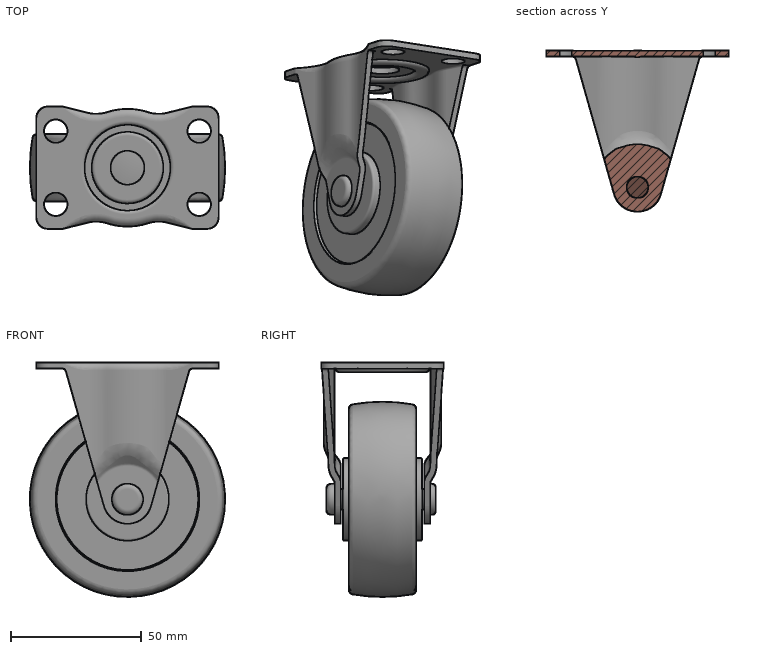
import cadquery as cq
import math


wheel_radius = 37.5
wheel_half_width = 13.0
tread_edge_radius = 36.2
tread_corner_fillet = 2.0
recess_outer_radius = 27.6
recess_floor_radius = 27.1
recess_depth = 1.0
hub_radius = 15.9
hub_half_width = 15.2
hub_fillet = 0.8

axle_radius = 4.0
head_radius = 6.0
front_head_height = 3.25
front_head_fillet = 2.0
rear_head_height = 2.15
rear_head_fillet = 1.6

overall_height = 90.0
plate_top = overall_height - wheel_radius
sheet = 2.4
plate_length = 70.0
plate_width = 47.0
plate_corner_radius = 4.5
mount_hole_diameter = 8.9
mount_pitch_x = 55.0
mount_pitch_y = 28.0
center_hole_diameter = 13.0
bead_outer_radius = 17.9
bead_inner_radius = 12.3
bead_depth = 1.45

flat_y = 20.75
crest_y = 22.6
flat_inner_x = 11.4
flat_outer_x = 12.6
bump_inflection_x = 7.9
wing_angle = math.radians(14)
wing_valley_radius = 10.0
bend_radius = 3.0
inner_bend_radius = bend_radius - sheet

arm_end_radius = 9.4
arm_taper = math.radians(15.8)
arm_root_fillet = 1.5

tab_y = 18.35
tab_radius = 13.3
joggle_angle = math.radians(37)
tab_valley_radius = 1.5
joggle_crown_radius = 8.0

bump_angle = 2 * math.atan((crest_y - flat_y) / flat_inner_x)
crest_radius = bump_inflection_x / math.sin(bump_angle)
bump_valley_radius = (flat_inner_x - bump_inflection_x) / math.sin(bump_angle)


def revolve_about_axle(profile):
    """Turn an XY profile (x = radius, y = along the axle) about the Y axis."""
    return profile.revolve(360, (0, 0, 0), (0, 1, 0))


def make_wheel():
    body = revolve_about_axle(
        cq.Workplane("XY")
        .moveTo(0, -wheel_half_width)
        .lineTo(tread_edge_radius, -wheel_half_width)
        .threePointArc((wheel_radius, 0), (tread_edge_radius, wheel_half_width))
        .lineTo(0, wheel_half_width)
        .close()
    )
    body = body.faces("<Y or >Y").edges().fillet(tread_corner_fillet)
    recess = revolve_about_axle(
        cq.Workplane("XY")
        .moveTo(0, wheel_half_width)
        .lineTo(recess_outer_radius, wheel_half_width)
        .lineTo(recess_floor_radius, wheel_half_width - recess_depth)
        .lineTo(0, wheel_half_width - recess_depth)
        .close()
    )
    hub = (
        cq.Workplane("XZ")
        .circle(hub_radius)
        .extrude(hub_half_width, both=True)
        .faces("<Y or >Y")
        .edges()
        .fillet(hub_fillet)
    )
    bore = cq.Workplane("XZ").circle(axle_radius).extrude(hub_half_width, both=True)
    return body.cut(recess).cut(recess.mirror("XZ")).union(hub).cut(bore)


def make_head(height, fillet, side):
    """Domed rivet head that sits on the tab's outer face; side is +1 for +Y, -1 for -Y."""
    head = (
        cq.Workplane("XZ", origin=(0, side * tab_y, 0))
        .circle(head_radius)
        .extrude(-side * height)
    )
    outer_face = ">Y" if side > 0 else "<Y"
    return head.faces(outer_face).edges().fillet(fillet)


def make_axle():
    shaft = cq.Workplane("XZ").circle(axle_radius).extrude(tab_y, both=True)
    front_head = make_head(front_head_height, front_head_fillet, -1)
    rear_head = make_head(rear_head_height, rear_head_fillet, 1)
    return shaft.union(front_head).union(rear_head)


def arc_point(center, radius, angle):
    """Point on an arc; the angle is measured from +Y towards +X."""
    return (center[0] + radius * math.sin(angle), center[1] + radius * math.cos(angle))


def mirrored(point):
    return (-point[0], point[1])


def wing_start(depth):
    """Where the straight wing leaves its valley arc, on the +X side."""
    center = (flat_outer_x, flat_y + wing_valley_radius)
    return arc_point(center, wing_valley_radius + depth, math.pi - wing_angle)


def add_wavy_middle(path, depth):
    """Draw the valley-flat-bump-flat-valley curve from -X to +X, `depth` inside the outer face."""
    wing_center = (flat_outer_x, flat_y + wing_valley_radius)
    valley_center = (flat_inner_x, flat_y + bump_valley_radius)
    wing_r = wing_valley_radius + depth
    valley_r = bump_valley_radius + depth
    crest_r = crest_radius - depth

    wing_mid = arc_point(wing_center, wing_r, math.pi - wing_angle / 2)
    flat_outer = (flat_outer_x, flat_y - depth)
    flat_inner = (flat_inner_x, flat_y - depth)
    valley_mid = arc_point(valley_center, valley_r, math.pi + bump_angle / 2)
    inflection = arc_point((0, crest_y - crest_radius), crest_r, bump_angle)
    crest = (0, crest_y - depth)

    return (
        path.threePointArc(mirrored(wing_mid), mirrored(flat_outer))
        .lineTo(*mirrored(flat_inner))
        .threePointArc(mirrored(valley_mid), mirrored(inflection))
        .threePointArc(crest, inflection)
        .threePointArc(valley_mid, flat_inner)
        .lineTo(*flat_outer)
        .threePointArc(wing_mid, wing_start(depth))
    )


def wing_end(depth):
    """Where the straight wing reaches the plate's long edge line, on the +X side."""
    start_x, start_y = wing_start(depth)
    edge_y = plate_width / 2
    return (start_x + (edge_y - start_y) / math.tan(wing_angle), edge_y)


def wavy_block(depth, bottom, top):
    """Block from the XZ plane out to the wavy surface `depth` inside the arm's outer face."""
    end = wing_end(depth)
    path = (
        cq.Workplane("XY", origin=(0, 0, bottom))
        .moveTo(-end[0], 0)
        .lineTo(*mirrored(end))
        .lineTo(*mirrored(wing_start(depth)))
    )
    return add_wavy_middle(path, depth).lineTo(*end).lineTo(end[0], 0).close().extrude(top - bottom)


def joggle_cutter(depth):
    """Space outside the tab and the cone round it, `depth` inside the arm's outer face."""
    valley_r = tab_valley_radius + depth
    valley_center = (
        tab_radius - tab_valley_radius * math.tan(joggle_angle / 2),
        tab_y + tab_valley_radius,
    )
    cone_start = arc_point(valley_center, valley_r, math.pi - joggle_angle)
    outside_y = plate_width / 2
    cone_end_radius = cone_start[0] + (outside_y - cone_start[1]) / math.tan(joggle_angle)
    return revolve_about_axle(
        cq.Workplane("XY")
        .moveTo(0, tab_y - depth)
        .lineTo(valley_center[0], tab_y - depth)
        .threePointArc(arc_point(valley_center, valley_r, math.pi - joggle_angle / 2), cone_start)
        .lineTo(cone_end_radius, outside_y)
        .lineTo(0, outside_y)
        .close()
    )


def arm_outline():
    """Tapered arm outline with a round lower end, as a block along Y."""
    tangent_x = arm_end_radius * math.cos(arm_taper)
    tangent_z = -arm_end_radius * math.sin(arm_taper)
    root_z = plate_top - sheet
    root_x = tangent_x + (root_z - tangent_z) * math.tan(arm_taper)
    root_run = arm_root_fillet * math.tan((math.pi / 2 - arm_taper) / 2)
    slope_x = root_x - root_run * math.sin(arm_taper)
    slope_z = root_z - root_run * math.cos(arm_taper)
    flare_center = (root_x + root_run, root_z - arm_root_fillet)
    flare_mid = arc_point(flare_center, arm_root_fillet, -(math.pi / 2 - arm_taper) / 2)
    flare_top = (root_x + root_run, root_z)
    return (
        cq.Workplane("XZ")
        .moveTo(*mirrored(flare_top))
        .threePointArc(mirrored(flare_mid), (-slope_x, slope_z))
        .lineTo(-tangent_x, tangent_z)
        .threePointArc((0, -arm_end_radius), (tangent_x, tangent_z))
        .lineTo(slope_x, slope_z)
        .threePointArc(flare_mid, flare_top)
        .lineTo(flare_top[0], plate_top)
        .lineTo(-flare_top[0], plate_top)
        .close()
        .extrude(-plate_width)
    )


def arm_block(depth):
    """Arm outline filled from the XZ plane out to the joggled surface `depth` inside the outer face."""
    block = wavy_block(depth, -arm_end_radius, plate_top)
    block = block.intersect(arm_outline()).cut(joggle_cutter(depth))
    cone_breakout_radius = tab_radius + (crest_y - tab_y) / math.tan(joggle_angle)
    nearest_y = flat_y - depth - 0.2 * (flat_y - tab_y)
    crown_edges = cq.selectors.BoxSelector(
        (-flat_outer_x, nearest_y, arm_end_radius),
        (flat_outer_x, plate_width / 2, cone_breakout_radius + tab_valley_radius),
    )
    return block.edges(crown_edges).fillet(joggle_crown_radius - depth)


def make_arm():
    """The +Y arm, up to the top of the plate."""
    axle_hole = cq.Workplane("XZ").circle(axle_radius).extrude(-plate_width)
    return arm_block(0).cut(arm_block(sheet)).cut(axle_hole)


def corner_section(radius, plane):
    """Waste outside a rounded corner: local x points inward from the face, local y points down."""
    mid = radius * (1 - math.sqrt(0.5))
    return (
        cq.Workplane(plane)
        .lineTo(radius, 0)
        .threePointArc((mid, mid), (0, radius))
        .close()
    )


def wing_bend_cutter():
    """Rounds the top of the +X wing, fading from the full bend radius to nothing at the corner."""
    start = wing_start(0)
    end = wing_end(0)
    along = cq.Vector(math.cos(wing_angle), math.sin(wing_angle), 0)
    inward = cq.Vector(math.sin(wing_angle), -math.cos(wing_angle), 0)
    fade_stations = [0, 0.5, 1]
    end_radius = bend_radius / 60
    wires = []
    for station in fade_stations:
        x = start[0] + station * (end[0] - start[0])
        y = start[1] + station * (end[1] - start[1])
        plane = cq.Plane(origin=(x, y, plate_top), xDir=inward, normal=along)
        radius = end_radius + (bend_radius - end_radius) * (1 - station ** 2)
        wires.append(corner_section(radius, plane).val())
    return cq.Workplane(cq.Solid.makeLoft(wires))


def middle_bend_cutter():
    """Rounds the top of the valleys, flats and bump."""
    start = mirrored(wing_start(0))
    path = cq.Workplane("XY", origin=(0, 0, plate_top)).moveTo(*start)
    path = add_wavy_middle(path, 0)
    plane = cq.Plane(
        origin=(start[0], start[1], plate_top),
        xDir=(-math.sin(wing_angle), -math.cos(wing_angle), 0),
        normal=(math.cos(wing_angle), -math.sin(wing_angle), 0),
    )
    return corner_section(bend_radius, plane).sweep(path)


def make_plate_half():
    """The +Y half of the plate with its wavy edge."""
    blank = (
        cq.Workplane("XY", origin=(0, 0, plate_top - sheet))
        .rect(plate_length, plate_width)
        .extrude(sheet)
        .edges("|Z")
        .fillet(plate_corner_radius)
    )
    end_x, end_y = wing_end(0)
    plate_middle_z = plate_top - sheet / 2
    middle = cq.Workplane("XY", origin=(0, 0, plate_middle_z)).box(2 * end_x, 2 * end_y, 2 * sheet)
    positive_y = (
        cq.Workplane("XY", origin=(0, plate_width / 2, plate_middle_z))
        .box(plate_length, plate_width, 2 * sheet)
    )
    wavy = wavy_block(0, plate_top - sheet, plate_top)
    return blank.intersect(positive_y).cut(middle).union(wavy)


def bead_ring(top_z, wall_bulge):
    """Ring one bead depth tall with quarter-round walls.

    wall_bulge is +1 where the walls bulge away from the ring, as under the plate, and -1 where
    they curve into it, as in the groove on top.
    """
    floor_z = top_z - bead_depth
    floor_outer = bead_outer_radius - bead_depth
    floor_inner = bead_inner_radius + bead_depth
    quarter_mid = bead_depth * (0.5 + wall_bulge * (math.sqrt(0.5) - 0.5))
    mid_z = top_z - quarter_mid
    return (
        cq.Workplane("XZ")
        .moveTo(bead_inner_radius, top_z)
        .lineTo(bead_outer_radius, top_z)
        .threePointArc((floor_outer + quarter_mid, mid_z), (floor_outer, floor_z))
        .lineTo(floor_inner, floor_z)
        .threePointArc((floor_inner - quarter_mid, mid_z), (bead_inner_radius, top_z))
        .close()
        .revolve(360, (0, 0, 0), (0, 1, 0))
    )


def make_bracket():
    half = make_plate_half().union(make_arm())
    underside = plate_top - sheet
    selection_margin = sheet / 10
    inner_corner = cq.selectors.BoxSelector(
        (-plate_length / 4, flat_y - 2 * sheet, underside - selection_margin),
        (plate_length / 4, crest_y, underside + selection_margin),
    )
    half = half.edges(inner_corner).fillet(inner_bend_radius)
    wing_cutter = wing_bend_cutter()
    half = half.cut(middle_bend_cutter()).cut(wing_cutter).cut(wing_cutter.mirror("YZ"))
    bracket = half.union(half.mirror("XZ"))
    bracket = bracket.union(bead_ring(plate_top - sheet, 1)).cut(bead_ring(plate_top, -1))
    plate_holes = (
        cq.Workplane("XY", origin=(0, 0, plate_top - sheet))
        .rect(mount_pitch_x, mount_pitch_y, forConstruction=True)
        .vertices()
        .circle(mount_hole_diameter / 2)
        .extrude(sheet)
    )
    center_hole = (
        cq.Workplane("XY", origin=(0, 0, plate_top - sheet))
        .circle(center_hole_diameter / 2)
        .extrude(sheet)
    )
    return bracket.cut(plate_holes).cut(center_hole)


wheel = make_wheel()
axle = make_axle()
bracket = make_bracket()

result = cq.Compound.makeCompound([bracket.solids().val(), wheel.solids().val(), axle.solids().val()])